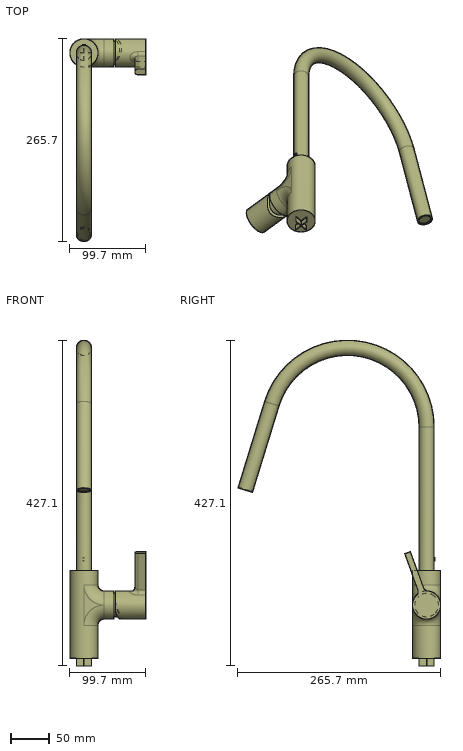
import cadquery as cq
import math

OVERALL_X = 99.66
OVERALL_Y = 265.74
OVERALL_Z = 427.06

BODY_RADIUS = 18.5
BODY_HEIGHT = 115.5
FOOT_HEIGHT = 10.0
FOOT_SPAN = 20.0
FOOT_BLADE = 0.6

ARM_AXIS_Z = 70.0
ELBOW_RADIUS = 26.6
ARM_END_X = 39.4

HANDLE_GAP = 2.0
HANDLE_START_X = ARM_END_X + HANDLE_GAP
HANDLE_END_X = OVERALL_X - BODY_RADIUS
GAP_DEPTH = 3.0
NECK_RADIUS = BODY_RADIUS - GAP_DEPTH
HANDLE_TILT = 20.0
RELIEF_DEPTH = 8.0

LEVER_THICKNESS = 8.0
LEVER_WIDTH = 14.5
LEVER_TIP = 73.0
LEVER_BLEND = 6.5
ROOT_MARGIN = 2.0

SPOUT_RADIUS = 10.0
BEND_RADIUS = 103.7
SPRAY_ANGLE = 17.1
OUTLET_RADIUS = 8.0
OUTLET_DEPTH = 1.0
BEND_Z = OVERALL_Z - FOOT_HEIGHT - BEND_RADIUS - SPOUT_RADIUS

STUD_Z = 130.0
STUD_RADIUS = 2.0
STUD_PROJECTION = 1.0


def make_foot():
    blade = cq.Workplane("XY").box(FOOT_SPAN, FOOT_BLADE, FOOT_HEIGHT, centered=(True, True, False))
    cross = blade.union(blade.rotate((0, 0, 0), (0, 0, 1), 90))
    return cross.translate((0, 0, -FOOT_HEIGHT))


def make_body():
    column = cq.Workplane("XY").circle(BODY_RADIUS).extrude(BODY_HEIGHT)
    return column.union(make_foot())


def make_elbow(side):
    """Quarter torus joining the column to the arm, above (side = 1) or below (side = -1)."""
    start_z = ARM_AXIS_Z + side * ELBOW_RADIUS
    return (
        cq.Workplane("XY", origin=(0, 0, start_z))
        .circle(BODY_RADIUS)
        .revolve(90, (ELBOW_RADIUS, 0, 0), (ELBOW_RADIUS, -side, 0))
    )


def make_web():
    """Flat-sided filling between the centre lines of the two elbows."""
    mid = ELBOW_RADIUS * (1 - math.sqrt(0.5))
    return (
        cq.Workplane("XZ", origin=(0, 0, ARM_AXIS_Z))
        .moveTo(0, ELBOW_RADIUS)
        .threePointArc((mid, mid), (ELBOW_RADIUS, 0))
        .threePointArc((mid, -mid), (0, -ELBOW_RADIUS))
        .close()
        .extrude(BODY_RADIUS, both=True)
    )


def cylinder_along_x(radius, start_x, end_x):
    plane = cq.Workplane("YZ", origin=(start_x, 0, ARM_AXIS_Z))
    return plane.circle(radius).extrude(end_x - start_x)


def make_arm():
    arm = cylinder_along_x(BODY_RADIUS, ELBOW_RADIUS, ARM_END_X)
    neck = cylinder_along_x(NECK_RADIUS, ELBOW_RADIUS, HANDLE_START_X + RELIEF_DEPTH)
    return arm.union(neck).union(make_elbow(1)).union(make_elbow(-1)).union(make_web())


def make_lever():
    """Upright bar with a half-round edge toward the column, flush with the end of the handle."""
    half = LEVER_THICKNESS / 2
    left = HANDLE_END_X - LEVER_WIDTH
    return (
        cq.Workplane("XY", origin=(0, 0, ARM_AXIS_Z))
        .moveTo(HANDLE_END_X, -half)
        .lineTo(left + half, -half)
        .threePointArc((left, 0), (left + half, half))
        .lineTo(HANDLE_END_X, half)
        .close()
        .extrude(LEVER_TIP)
    )


def make_relief():
    """Curved cut that opens the gap between arm and handle on the side away from the lever."""
    curve_radius = (BODY_RADIUS**2 + RELIEF_DEPTH**2) / (2 * RELIEF_DEPTH)
    half_angle = math.asin(BODY_RADIUS / curve_radius) / 2
    mid_x = HANDLE_START_X + curve_radius * (1 - math.cos(half_angle))
    mid_z = -curve_radius * math.sin(half_angle)
    return (
        cq.Workplane("XZ", origin=(0, 0, ARM_AXIS_Z))
        .moveTo(HANDLE_START_X, 0)
        .threePointArc((mid_x, mid_z), (HANDLE_START_X + RELIEF_DEPTH, -BODY_RADIUS))
        .lineTo(HANDLE_START_X, -BODY_RADIUS)
        .close()
        .extrude(BODY_RADIUS, both=True)
    )


def make_handle():
    grip = cylinder_along_x(BODY_RADIUS, HANDLE_START_X, HANDLE_END_X)
    handle = grip.union(make_lever())
    lever_left = HANDLE_END_X - LEVER_WIDTH
    root_z = ARM_AXIS_Z + BODY_RADIUS
    root_edges = cq.selectors.BoxSelector(
        (lever_left - ROOT_MARGIN, -LEVER_THICKNESS, root_z - ROOT_MARGIN),
        (HANDLE_END_X - ROOT_MARGIN, LEVER_THICKNESS, root_z + ROOT_MARGIN),
    )
    handle = handle.edges(root_edges).fillet(LEVER_BLEND)
    handle = handle.cut(make_relief())
    return handle.rotate((0, 0, ARM_AXIS_Z), (1, 0, ARM_AXIS_Z), HANDLE_TILT)


def make_spout():
    """Round tube: straight riser, bend toward -Y, straight sloping spray head with a recessed outlet."""
    angle = math.radians(SPRAY_ANGLE)
    bend_end_y = -BEND_RADIUS * (1 + math.cos(angle))
    bend_end_z = BEND_Z + BEND_RADIUS * math.sin(angle)
    tip_y = BODY_RADIUS + SPOUT_RADIUS * math.cos(angle) - OVERALL_Y
    spray_length = (bend_end_y - tip_y) / math.sin(angle)
    riser = (
        cq.Workplane("XY", origin=(0, 0, BODY_HEIGHT)).circle(SPOUT_RADIUS).extrude(BEND_Z - BODY_HEIGHT)
    )
    bend = (
        cq.Workplane("XY", origin=(0, 0, BEND_Z))
        .circle(SPOUT_RADIUS)
        .revolve(180 - SPRAY_ANGLE, (0, -BEND_RADIUS, 0), (1, -BEND_RADIUS, 0))
    )
    spray_plane = cq.Plane(
        origin=(0, bend_end_y, bend_end_z),
        xDir=(1, 0, 0),
        normal=(0, -math.sin(angle), -math.cos(angle)),
    )
    spray = cq.Workplane(spray_plane).circle(SPOUT_RADIUS).extrude(spray_length)
    outlet_face = spray.faces(cq.selectors.DirectionMinMaxSelector(spray_plane.zDir, True)).workplane()
    spray = outlet_face.circle(OUTLET_RADIUS).cutBlind(-OUTLET_DEPTH)
    return riser.union(bend).union(spray)


def make_stud():
    length = SPOUT_RADIUS + STUD_PROJECTION
    return cq.Workplane("XZ", origin=(0, 0, STUD_Z)).circle(STUD_RADIUS).extrude(-length)


result = make_body().union(make_arm()).union(make_handle()).union(make_spout()).union(make_stud())